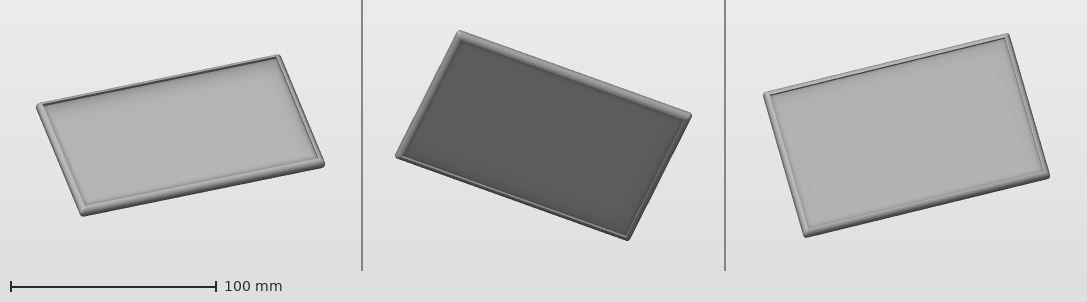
import cadquery as cq

LENGTH = 124.1
WIDTH = 79.3
THICKNESS = 6.0
CORNER_RADIUS = 1.5
RECESS_DEPTH = 1.5

RAIL_RADIUS = THICKNESS / 2
OPENING_WIDTH = WIDTH - 2 * RAIL_RADIUS
OPENING_LENGTH = LENGTH - 2 * RAIL_RADIUS
PANEL_THICKNESS = THICKNESS - 2 * RECESS_DEPTH


def half_round_bar(plane, length):
    """Bar with flat faces between full half-round edges, centred along its length."""
    across = OPENING_WIDTH if plane == "XZ" else OPENING_LENGTH
    return (
        cq.Workplane(plane)
        .slot2D(across + THICKNESS, THICKNESS)
        .extrude(length / 2, both=True)
    )


def make_frame():
    """Half-round rails, mitred and rounded at the corners, around a through opening."""
    slab = half_round_bar("XZ", LENGTH).intersect(half_round_bar("YZ", WIDTH))
    mitres = [e for e in slab.edges().vals() if e.geomType() != "LINE"]
    slab = slab.newObject(mitres).fillet(CORNER_RADIUS)
    opening = cq.Workplane("XY").box(OPENING_WIDTH, OPENING_LENGTH, THICKNESS)
    return slab.cut(opening)


def make_panel():
    """Flat panel filling the frame opening at mid-thickness."""
    return cq.Workplane("XY").box(OPENING_WIDTH, OPENING_LENGTH, PANEL_THICKNESS)


frame = make_frame()
panel = make_panel()

result = cq.Compound.makeCompound([frame.val(), panel.val()])